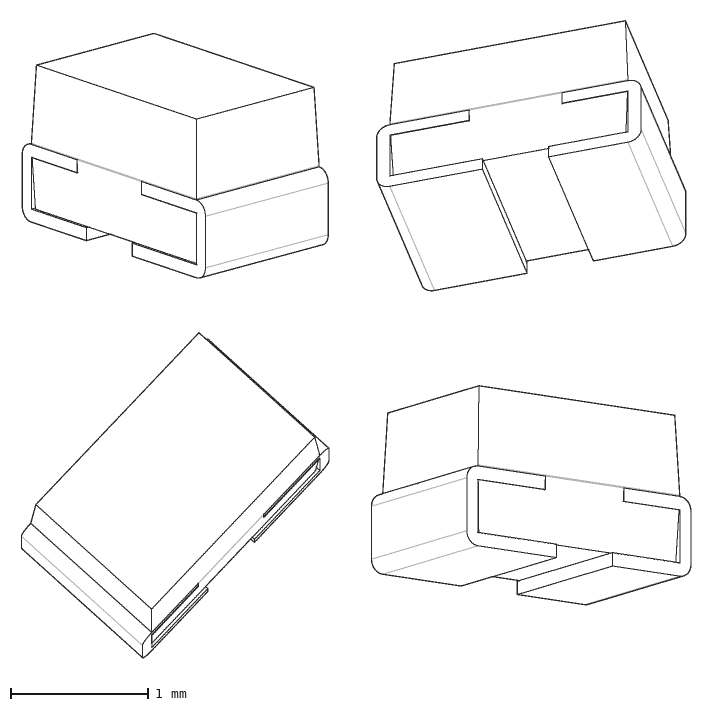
import cadquery as cq
import math

LENGTH = 2.0
WIDTH = 1.2
HEIGHT = 1.2

LEAD_THICKNESS = 0.1
LEAD_HEIGHT = 0.595
BEND_RADIUS = 0.1
LEFT_TAB_END = -0.4
LEFT_PAD_END = -0.3
RIGHT_TAB_END = 0.3
RIGHT_PAD_END = 0.2

BODY_LENGTH = LENGTH - 2 * LEAD_THICKNESS
BODY_WIDTH = WIDTH
BODY_BOTTOM = LEAD_THICKNESS
BAND_HEIGHT = 0.008
BAND_BOTTOM = LEAD_HEIGHT
BAND_TOP = BAND_BOTTOM + BAND_HEIGHT
DRAFT_ANGLE = 2.5


def make_lead(side, tab_end, pad_end):
    """C-shaped lead; side is -1 for the -X end and +1 for the +X end."""
    outer_x = side * LENGTH / 2
    inner_x = side * (LENGTH / 2 - LEAD_THICKNESS)
    bend_x = side * (LENGTH / 2 - BEND_RADIUS)
    arc_mid = BEND_RADIUS * math.sqrt(0.5)
    arc_mid_x = bend_x + side * arc_mid
    lower_center_z = BEND_RADIUS
    upper_center_z = LEAD_HEIGHT - BEND_RADIUS
    return (
        cq.Workplane("XZ")
        .moveTo(pad_end, 0)
        .lineTo(bend_x, 0)
        .threePointArc((arc_mid_x, lower_center_z - arc_mid), (outer_x, lower_center_z))
        .lineTo(outer_x, upper_center_z)
        .threePointArc((arc_mid_x, upper_center_z + arc_mid), (bend_x, LEAD_HEIGHT))
        .lineTo(tab_end, LEAD_HEIGHT)
        .lineTo(tab_end, LEAD_HEIGHT - LEAD_THICKNESS)
        .lineTo(inner_x, LEAD_HEIGHT - LEAD_THICKNESS)
        .lineTo(inner_x, LEAD_THICKNESS)
        .lineTo(pad_end, LEAD_THICKNESS)
        .close()
        .extrude(WIDTH / 2, both=True)
    )


def body_section(start_z, end_z, draft=0):
    """Rectangular stretch of the body, narrowing from start_z towards end_z."""
    return (
        cq.Workplane("XY", origin=(0, 0, start_z))
        .rect(BODY_LENGTH, BODY_WIDTH)
        .extrude(end_z - start_z, taper=draft)
    )


def make_body(leads):
    """Moulded body with recesses that fit the upper tabs of the leads."""
    body = (
        body_section(BAND_BOTTOM, BODY_BOTTOM, DRAFT_ANGLE)
        .union(body_section(BAND_BOTTOM, BAND_TOP))
        .union(body_section(BAND_TOP, HEIGHT, DRAFT_ANGLE))
    )
    for lead in leads:
        body = body.cut(lead)
    return body


left_lead = make_lead(-1, LEFT_TAB_END, LEFT_PAD_END)
right_lead = make_lead(1, RIGHT_TAB_END, RIGHT_PAD_END)
body = make_body([left_lead, right_lead])

result = cq.Compound.makeCompound([body.val(), left_lead.val(), right_lead.val()])